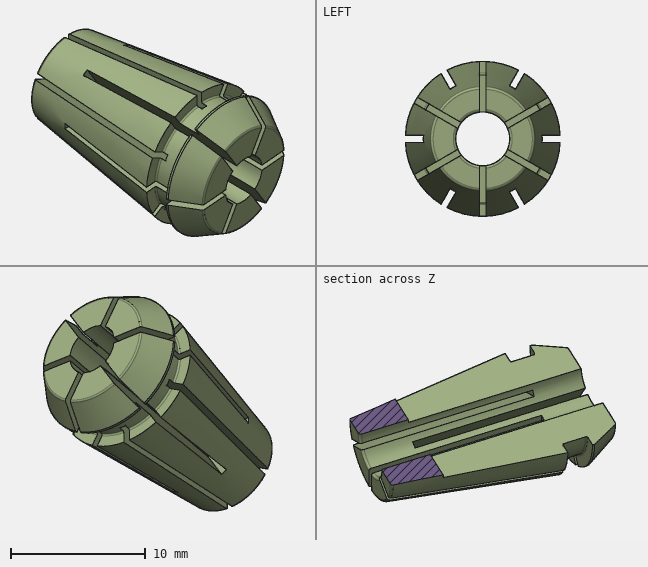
import cadquery as cq
import math

length = 18.0
outer_radius = 11.5 / 2
bore_radius = 3.98 / 2

taper_end = 13.5
taper_angle = 8.0
nose_radius = outer_radius - taper_end * math.tan(math.radians(taper_angle))

groove_width = 2.0
neck_radius = 4.75
flange_start = taper_end + groove_width

land_width = 0.18
flange_angle = 30.0
land_end = flange_start + land_width
back_radius = outer_radius - (length - land_end) * math.tan(math.radians(flange_angle))

nose_fillet = 0.2
bore_fillet = 0.2
back_fillet = 0.18
neck_fillet = 0.13

slot_width = 0.5
slots_per_end = 6
slot_pitch = 360.0 / slots_per_end
nose_slot_end = 14.0
back_slot_start = 4.0
slot_clearance = 0.18


def circle_edges(solid, x, radius):
    """Edges on the circle of the given radius centred on the axis at x."""
    tolerance = 0.009
    inner = radius - tolerance
    outer = radius + tolerance
    disc_box = cq.selectors.BoxSelector(
        (x - tolerance, -outer, -outer), (x + tolerance, outer, outer), boundingbox=True
    )
    core_box = cq.selectors.BoxSelector(
        (x - tolerance, -inner, -inner), (x + tolerance, inner, inner), boundingbox=True
    )
    return solid.edges(disc_box - core_box)


def make_body():
    """Revolved collet blank with its bore and rounded edges."""
    profile = [
        (0, bore_radius),
        (0, nose_radius),
        (taper_end, outer_radius),
        (taper_end, neck_radius),
        (flange_start, neck_radius),
        (flange_start, outer_radius),
        (land_end, outer_radius),
        (length, back_radius),
        (length, bore_radius),
    ]
    body = cq.Workplane("XY").polyline(profile).close().revolve(360, (0, 0, 0), (1, 0, 0))
    rounded_circles = [
        (0, bore_radius, bore_fillet),
        (0, nose_radius, nose_fillet),
        (taper_end, neck_radius, neck_fillet),
        (flange_start, neck_radius, neck_fillet),
        (length, back_radius, back_fillet),
    ]
    for x, radius, fillet in rounded_circles:
        body = circle_edges(body, x, radius).fillet(fillet)
    return body


def make_slots(start, end, first_angle):
    """Radial slots from the axis outwards, spread evenly around it."""
    reach = outer_radius + slot_clearance
    blade = cq.Workplane("XY").box(end - start, slot_width, reach, centered=(False, True, False))
    blade = blade.translate((start, 0, 0))
    slots = cq.Workplane("XY")
    for index in range(slots_per_end):
        angle = first_angle + index * slot_pitch
        slots = slots.add(blade.rotate((0, 0, 0), (1, 0, 0), angle))
    return slots.combine()


nose_slots = make_slots(0, nose_slot_end, 0)
back_slots = make_slots(back_slot_start, length, slot_pitch / 2)
result = make_body().cut(nose_slots).cut(back_slots)